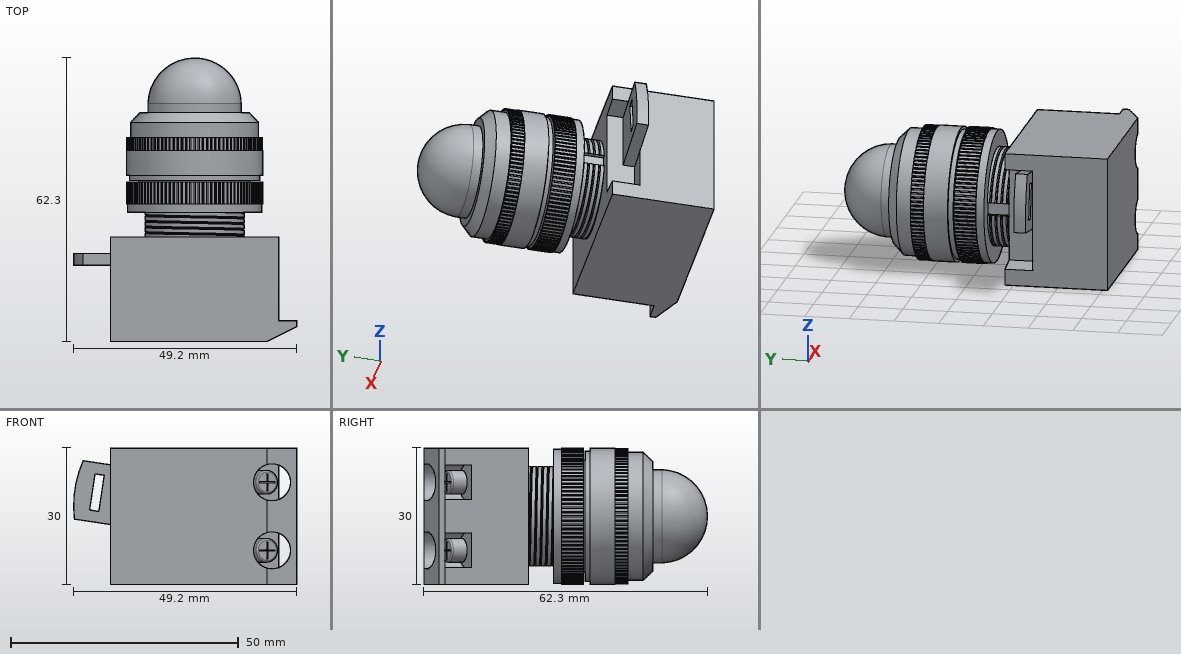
import cadquery as cq
import math


BLOCK_WIDTH = 37.05
BLOCK_HEIGHT = 30.0
BLOCK_DEPTH = 23.0
SIDE_X = BLOCK_WIDTH / 2
LIP_REACH = 4.0
LIP_BACK_Y = 4.6
LIP_EDGE_Y = 3.3
BEVEL_START_X = 15.9
BEVEL_TILT = math.atan2(LIP_EDGE_Y, SIDE_X + LIP_REACH - BEVEL_START_X)

ACCESS_RADIUS = 4.05
ACCESS_X = 17.05
TERMINAL_PITCH = 15.0
SCREW_RADIUS = 2.6
SCREW_EDGE_RADIUS = 0.4
SCREW_HEIGHT = 3.75
SCREW_X = 16.05
SCREW_TOP_Y = 5.0
CROSS_LENGTH = 3.75
CROSS_WIDTH = 0.25
CROSS_DEPTH = 0.5

LEVER_TILT = 8.5
POCKET_HEIGHT = 22.7
POCKET_DEPTH = 5.0
POCKET_FRONT_Y = 16.8
LEVER_THICKNESS = 2.6
LEVER_WIDTH = 13.05
LEVER_REACH = 6.05
LEVER_CROWN = 0.9
LEVER_ROOT = 7.5
LEVER_SLOT_LENGTH = 8.0
LEVER_SLOT_WIDTH = 2.0
LEVER_SLOT_OFFSET = 2.0

STEM_RADIUS = 11.0
STEM_LENGTH = 5.4
THREAD_PITCH = 1.25
THREAD_WIDTH = 0.45
THREAD_DEPTH = 0.3
THREAD_OVERRUN = 0.9
KEYWAY_WIDTH = 2.8
KEYWAY_DEPTH = 1.0

NUT_RIM_RADIUS = 14.8
NUT_RIM_LENGTH = 1.8
BODY_RADIUS = BLOCK_HEIGHT / 2
NUT_KNURL_LENGTH = 4.85
NECK_RADIUS = 12.35
NECK_LENGTH = 0.3
WASHER_RADIUS = 14.35
WASHER_LENGTH = 1.1
BODY_LENGTH = 5.4
HEAD_KNURL_RADIUS = 14.9
HEAD_KNURL_LENGTH = 2.95
COLLAR_RADIUS = 14.1
COLLAR_LENGTH = 3.3
BEZEL_RADIUS = 12.05
BEZEL_LENGTH = 2.1
DOME_RADIUS = 10.3
DOME_SKIRT = 2.05
DOME_HEIGHT = 10.0

KNURL_COUNT = 100
KNURL_WIDTH = 0.3
KNURL_DEPTH = 0.3

NUT_Y = BLOCK_DEPTH + STEM_LENGTH
NUT_KNURL_Y = NUT_Y + NUT_RIM_LENGTH
NECK_Y = NUT_KNURL_Y + NUT_KNURL_LENGTH
WASHER_Y = NECK_Y + NECK_LENGTH
BODY_Y = WASHER_Y + WASHER_LENGTH
HEAD_KNURL_Y = BODY_Y + BODY_LENGTH
COLLAR_Y = HEAD_KNURL_Y + HEAD_KNURL_LENGTH
BEZEL_Y = COLLAR_Y + COLLAR_LENGTH
SKIRT_Y = BEZEL_Y + BEZEL_LENGTH
DOME_Y = SKIRT_Y + DOME_SKIRT


def facing_back(y):
    """Work plane at station y with its normal along +Y and its local x along +Z."""
    return cq.Workplane(cq.Plane(origin=(0, y, 0), xDir=(0, 0, 1), normal=(0, 1, 0)))


def facing_front(y):
    """Work plane at station y with its normal along -Y, local x along +X and local y along +Z."""
    return cq.Workplane("XZ", origin=(0, y, 0))


def make_block():
    """Block with the bevelled lip along its front +X edge."""
    lip_x = SIDE_X + LIP_REACH
    return (
        cq.Workplane("XY", origin=(0, 0, -BLOCK_HEIGHT / 2))
        .moveTo(-SIDE_X, 0)
        .lineTo(BEVEL_START_X, 0)
        .lineTo(lip_x, LIP_EDGE_Y)
        .lineTo(lip_x, LIP_BACK_Y)
        .lineTo(SIDE_X, LIP_BACK_Y)
        .lineTo(SIDE_X, BLOCK_DEPTH)
        .lineTo(-SIDE_X, BLOCK_DEPTH)
        .close()
        .extrude(BLOCK_HEIGHT)
    )


def screw_plane(z):
    """Plane on the screw head, parallel to the bevel, with its normal pointing out of the block."""
    return cq.Plane(
        origin=(SCREW_X, SCREW_TOP_Y, z),
        xDir=(math.cos(BEVEL_TILT), math.sin(BEVEL_TILT), 0),
        normal=(math.sin(BEVEL_TILT), -math.cos(BEVEL_TILT), 0),
    )


def make_access_hole(z):
    """Straight hole along Y whose floor is parallel to the bevel."""
    hole = facing_front(BLOCK_DEPTH).center(ACCESS_X, z).circle(ACCESS_RADIUS).extrude(BLOCK_DEPTH)
    floor = cq.Workplane(screw_plane(z)).workplane(offset=-SCREW_HEIGHT)
    below_floor = floor.rect(2 * BLOCK_WIDTH, 2 * BLOCK_HEIGHT).extrude(-BLOCK_DEPTH)
    return hole.cut(below_floor)


def make_screw(z):
    """Round screw head with a cross recess, standing square on the tilted floor."""
    head = cq.Workplane(screw_plane(z)).circle(SCREW_RADIUS).extrude(-SCREW_HEIGHT)
    head = head.faces("<Y").edges().fillet(SCREW_EDGE_RADIUS)
    for length, width in ((CROSS_LENGTH, CROSS_WIDTH), (CROSS_WIDTH, CROSS_LENGTH)):
        head = head.cut(cq.Workplane(screw_plane(z)).rect(length, width).extrude(-CROSS_DEPTH))
    return head


def make_pocket():
    """Pocket open to the -X and +Y sides, narrowing toward its floor."""
    mouth = POCKET_HEIGHT / 2
    floor = mouth - POCKET_DEPTH * math.tan(math.radians(LEVER_TILT))
    floor_x = -SIDE_X + POCKET_DEPTH
    return (
        facing_front(BLOCK_DEPTH)
        .polyline([(-SIDE_X, -mouth), (floor_x, -floor), (floor_x, floor), (-SIDE_X, mouth)])
        .close()
        .extrude(BLOCK_DEPTH - POCKET_FRONT_Y)
    )


def make_lever():
    """Tilted slotted lever resting against the upper wall of the pocket."""
    tilt = math.radians(LEVER_TILT)
    plane = cq.Plane(
        origin=(-SIDE_X, POCKET_FRONT_Y + LEVER_THICKNESS, POCKET_HEIGHT / 2),
        xDir=(math.cos(tilt), 0, -math.sin(tilt)),
        normal=(0, -1, 0),
    )
    lever = (
        cq.Workplane(plane)
        .moveTo(LEVER_ROOT, 0)
        .lineTo(-LEVER_REACH, 0)
        .threePointArc(
            (-LEVER_REACH - LEVER_CROWN, -LEVER_WIDTH / 2),
            (-LEVER_REACH, -LEVER_WIDTH),
        )
        .lineTo(LEVER_ROOT, -LEVER_WIDTH)
        .close()
        .extrude(LEVER_THICKNESS)
    )
    slot = (
        cq.Workplane(plane)
        .center(-LEVER_SLOT_OFFSET, -LEVER_WIDTH / 2)
        .rect(LEVER_SLOT_WIDTH, LEVER_SLOT_LENGTH)
        .extrude(LEVER_THICKNESS)
    )
    return lever.cut(slot)


def make_stem():
    """Stem with a left-hand V thread and a keyway on its -X side."""
    length = STEM_LENGTH + 2 * THREAD_OVERRUN
    stem = cq.Workplane("XY").circle(STEM_RADIUS).extrude(length)
    helix = cq.Wire.makeHelix(THREAD_PITCH, length, STEM_RADIUS, lefthand=True)
    groove = (
        cq.Workplane("XZ")
        .polyline([
            (STEM_RADIUS - THREAD_DEPTH, 0),
            (STEM_RADIUS + THREAD_DEPTH, -THREAD_WIDTH),
            (STEM_RADIUS + THREAD_DEPTH, THREAD_WIDTH),
        ])
        .close()
        .sweep(cq.Workplane(obj=helix), isFrenet=True)
    )
    stem = stem.cut(groove)
    stem = stem.rotate((0, 0, 0), (1, 0, 0), -90).translate((0, BLOCK_DEPTH - THREAD_OVERRUN, 0))
    keyway = cq.Workplane("XY").box(KEYWAY_DEPTH, STEM_LENGTH, KEYWAY_WIDTH).translate(
        (-STEM_RADIUS + KEYWAY_DEPTH / 2, BLOCK_DEPTH + STEM_LENGTH / 2, 0)
    )
    return stem.cut(keyway)


def make_head():
    """Nut and lamp head turned about the Y axis."""
    sphere = (DOME_RADIUS**2 + DOME_HEIGHT**2) / (2 * DOME_HEIGHT)
    tip_y = DOME_Y + DOME_HEIGHT
    diagonal = sphere * math.sqrt(0.5)
    return (
        cq.Workplane("XY")
        .moveTo(0, NUT_Y)
        .lineTo(NUT_RIM_RADIUS, NUT_Y)
        .lineTo(NUT_RIM_RADIUS, NUT_KNURL_Y)
        .lineTo(BODY_RADIUS, NUT_KNURL_Y)
        .lineTo(BODY_RADIUS, NECK_Y)
        .lineTo(NECK_RADIUS, NECK_Y)
        .lineTo(NECK_RADIUS, WASHER_Y)
        .lineTo(WASHER_RADIUS, WASHER_Y)
        .lineTo(WASHER_RADIUS, BODY_Y)
        .lineTo(BODY_RADIUS, BODY_Y)
        .lineTo(BODY_RADIUS, HEAD_KNURL_Y)
        .lineTo(HEAD_KNURL_RADIUS, HEAD_KNURL_Y)
        .lineTo(HEAD_KNURL_RADIUS, COLLAR_Y)
        .lineTo(COLLAR_RADIUS, COLLAR_Y)
        .lineTo(COLLAR_RADIUS, BEZEL_Y)
        .lineTo(BEZEL_RADIUS, SKIRT_Y)
        .lineTo(DOME_RADIUS, SKIRT_Y)
        .lineTo(DOME_RADIUS, DOME_Y)
        .threePointArc((diagonal, tip_y - sphere + diagonal), (0, tip_y))
        .close()
        .revolve(360, (0, 0, 0), (0, 1, 0))
    )


def make_knurl(start_y, radius, length):
    """Ring of straight axial grooves cut into a band of the given radius."""
    return (
        facing_back(start_y)
        .polarArray(radius, 0, 360, KNURL_COUNT)
        .rect(2 * KNURL_DEPTH, KNURL_WIDTH)
        .extrude(length)
    )


block = make_block()
for terminal_z in (-TERMINAL_PITCH / 2, TERMINAL_PITCH / 2):
    block = block.cut(make_access_hole(terminal_z)).union(make_screw(terminal_z))
block = block.cut(make_pocket()).union(make_lever())

head = make_head()
head = head.cut(make_knurl(NUT_KNURL_Y, BODY_RADIUS, NUT_KNURL_LENGTH))
head = head.cut(make_knurl(HEAD_KNURL_Y, HEAD_KNURL_RADIUS, HEAD_KNURL_LENGTH))

result = block.union(make_stem()).union(head)